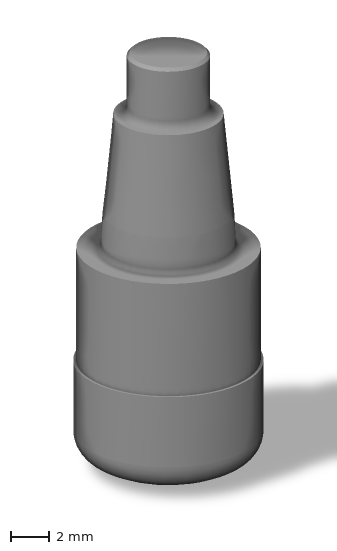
import cadquery as cq
import math

TOTAL_HEIGHT = 23.6
CAP_TOP = 6.02
BARREL_TOP = 12.44
TAPER_BOTTOM = 14.5
SHOULDER = 20.1

CAP_RADIUS = 10.0 / 2
BARREL_RADIUS = 9.7 / 2
STEM_FOOT_RADIUS = 3.55
SHOULDER_RADIUS = 2.9
TIP_RADIUS = 4.4 / 2

FOOT_FILLET = 0.28
TIP_FILLET = 0.5
TIP_CHAMFER = 0.17
CAP_SIDE_START = 2.0
CAP_CORNER_RADIUS = 1.5
CAP_DOME_RADIUS = 5.0


def revolve_about_z(profile):
    """Revolve a closed radius/height profile a full turn about the Z axis."""
    return profile.close().revolve(360, (0, 0, 0), (0, 1, 0))


def point_on_arc(center, radius, angle):
    """Point on a circle, with the angle measured from straight down."""
    return center[0] + radius * math.sin(angle), center[1] - radius * math.cos(angle)


def make_cap():
    """Solid cap: flat bottom, broad dome arc, tighter corner arc, straight wall."""
    corner_center = (CAP_RADIUS - CAP_CORNER_RADIUS, CAP_SIDE_START)
    center_rise = CAP_DOME_RADIUS - CAP_SIDE_START
    tangent_angle = math.acos(center_rise / (CAP_DOME_RADIUS - CAP_CORNER_RADIUS))
    flat_radius = corner_center[0] - center_rise * math.tan(tangent_angle)
    dome_center = (flat_radius, CAP_DOME_RADIUS)

    dome_middle = point_on_arc(dome_center, CAP_DOME_RADIUS, tangent_angle / 2)
    dome_end = point_on_arc(dome_center, CAP_DOME_RADIUS, tangent_angle)
    corner_middle_angle = (tangent_angle + math.pi / 2) / 2
    corner_middle = point_on_arc(corner_center, CAP_CORNER_RADIUS, corner_middle_angle)

    profile = (
        cq.Workplane("XZ")
        .moveTo(0, 0)
        .lineTo(flat_radius, 0)
        .threePointArc(dome_middle, dome_end)
        .threePointArc(corner_middle, (CAP_RADIUS, CAP_SIDE_START))
        .lineTo(CAP_RADIUS, CAP_TOP)
        .lineTo(0, CAP_TOP)
    )
    return revolve_about_z(profile)


def make_plunger():
    """Barrel, tapered stem and cylindrical tip turned as one piece."""
    foot_top = BARREL_TOP + FOOT_FILLET
    bulge_height = TAPER_BOTTOM - foot_top
    taper_angle = math.atan2(
        STEM_FOOT_RADIUS - SHOULDER_RADIUS, SHOULDER - TAPER_BOTTOM + bulge_height / 2
    )
    taper_bottom_radius = STEM_FOOT_RADIUS - bulge_height * math.tan(taper_angle / 2)

    profile = (
        cq.Workplane("XZ")
        .moveTo(0, CAP_TOP)
        .lineTo(BARREL_RADIUS, CAP_TOP)
        .lineTo(BARREL_RADIUS, BARREL_TOP)
        .lineTo(STEM_FOOT_RADIUS + FOOT_FILLET, BARREL_TOP)
        .radiusArc((STEM_FOOT_RADIUS, foot_top), FOOT_FILLET)
        .tangentArcPoint((taper_bottom_radius, TAPER_BOTTOM), relative=False)
        .lineTo(SHOULDER_RADIUS, SHOULDER)
        .lineTo(TIP_RADIUS + TIP_FILLET, SHOULDER)
        .radiusArc((TIP_RADIUS, SHOULDER + TIP_FILLET), TIP_FILLET)
        .lineTo(TIP_RADIUS, TOTAL_HEIGHT - TIP_CHAMFER)
        .lineTo(TIP_RADIUS - TIP_CHAMFER, TOTAL_HEIGHT)
        .lineTo(0, TOTAL_HEIGHT)
    )
    return revolve_about_z(profile)


cap = make_cap()
plunger = make_plunger()

result = cq.Compound.makeCompound([cap.val(), plunger.val()])